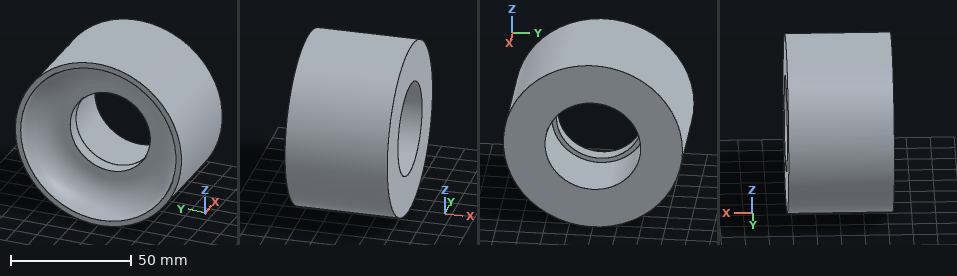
import cadquery as cq

outer_diameter = 75.0
width = 44.0
bore_diameter = 36.0

mouth_diameter = 70.0
floor_diameter = 44.55
dish_radius = (mouth_diameter - floor_diameter) / 2
dish_depth = dish_radius

counterbore_diameter = 40.0
neck_length = 6.2

outer_radius = outer_diameter / 2
bore_radius = bore_diameter / 2
counterbore_radius = counterbore_diameter / 2
mouth_radius = mouth_diameter / 2
floor_radius = floor_diameter / 2
front_x = -width / 2
back_x = width / 2
floor_x = front_x + dish_depth
neck_end_x = floor_x + neck_length

diagonal = dish_radius * 0.5 ** 0.5
arc_middle = (front_x + diagonal, floor_radius + diagonal)

half_section = (
    cq.Workplane("XY")
    .moveTo(front_x, outer_radius)
    .lineTo(back_x, outer_radius)
    .lineTo(back_x, counterbore_radius)
    .lineTo(neck_end_x, counterbore_radius)
    .lineTo(neck_end_x, bore_radius)
    .lineTo(floor_x, bore_radius)
    .lineTo(floor_x, floor_radius)
    .threePointArc(arc_middle, (front_x, mouth_radius))
    .close()
)

result = half_section.revolve(360, (0, 0, 0), (1, 0, 0))